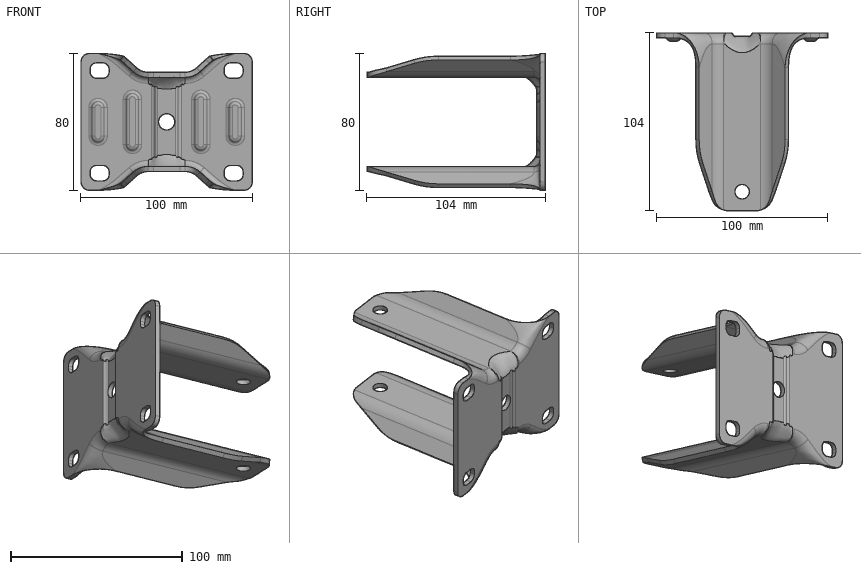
import cadquery as cq
import math


thickness = 3.0
plate_width = 100.0
plate_height = 80.0
plate_corner_radius = 5.0
half_width = plate_width / 2
half_height = plate_height / 2

arm_length = 104.0
web_half_width = 10.8
web_inner_height = 26.0
bend_radius = 10.0
wing_angle = 42.0
wing_width = 10.2
web_outer_height = web_inner_height + thickness
bend_axis_height = web_outer_height + bend_radius
bend_inner_radius = bend_radius + thickness
wing_cos = math.cos(math.radians(wing_angle))
wing_sin = math.sin(math.radians(wing_angle))

fold_radius = 3.5
fold_depth = fold_radius + thickness
flare_depth = 20.3
flare_end_x = 39.9
circle_handle = 4 / 3 * (math.sqrt(2) - 1)
flare_inner_angle = 14.0
flare_inner_handle = 0.7
flare_steps = 4

taper_start = 62.4
taper_radius = 34.3
taper_angle = 24.0
tip_radius = 10.0
bend_steps = 6

unrolled_bend = math.radians(wing_angle) * (bend_radius + thickness / 2)
taper_sin = math.sin(math.radians(taper_angle))
taper_cos = math.cos(math.radians(taper_angle))
taper_tan = taper_sin / taper_cos
wing_edge = web_half_width + unrolled_bend + wing_width
taper_line_across = wing_edge - taper_radius * (1 - taper_cos)
taper_line_reach = taper_start + taper_radius * taper_sin
tip_center_reach = arm_length - tip_radius
tip_center_across = (
    taper_line_across
    - (tip_center_reach - taper_line_reach) * taper_tan
    - tip_radius / taper_cos
)

slot_width = 10.9
slot_height = 8.8
slot_corner_radius = 3.5
slot_x = 39.1
slot_z = 30.0
center_hole_diameter = 9.4
axle_hole_diameter = 8.3
axle_hole_y = -92.8

emboss_height = 2.0
bead_foot = 5.4
bead_inflection = 3.5
bead_crown = 1.7
beads = ((20.0, 13.1), (40.0, 8.3))
rib_foot = 8.7
rib_inflection = 6.8
rib_crown = 5.3
groove_foot = 6.8
groove_inflection = 5.4
groove_crown = 4.0

gusset_half_width = 10.7
gusset_depth = 11.9
gusset_foot_z = 18.8
gusset_handle = 0.25
gusset_steps = 8

overlap = 0.02
cut_margin = 1.0


def wing_point(along, height=0.0):
    """Point (x, z) on the wing: distance past the bend, height above the inner face."""
    radius = bend_inner_radius - height
    x = web_half_width + radius * wing_sin + along * wing_cos
    z = bend_axis_height - radius * wing_cos + along * wing_sin
    return x, z


def smooth_turn(foot, depth, plate_point, plate_y, angle, arm_handle, plate_handle):
    """Curve leaving the arm along Y and landing on the plate along the given angle."""
    (foot_x, foot_z), (plate_x, plate_z) = foot, plate_point
    reach = plate_handle * math.dist(foot, plate_point)
    return cq.Edge.makeBezier([
        cq.Vector(foot_x, -depth, foot_z),
        cq.Vector(foot_x, -depth + arm_handle * (depth + plate_y), foot_z),
        cq.Vector(plate_x - reach * math.cos(angle), plate_y, plate_z - reach * math.sin(angle)),
        cq.Vector(plate_x, plate_y, plate_z),
    ])


def join_turns(inner, outer):
    """Closed outline of the sheet between its inner and outer curves."""
    at_plate = cq.Edge.makeLine(inner.endPoint(), outer.endPoint())
    at_arm = cq.Edge.makeLine(outer.startPoint(), inner.startPoint())
    return cq.Wire.assembleEdges([inner, at_plate, outer, at_arm])


def plain_fold_section(inner_foot, outer_foot, plate_point):
    """Fold outline of constant radius, with true arcs."""
    def arc(foot, plate_y):
        (foot_x, foot_z), (plate_x, plate_z) = foot, plate_point
        near, far = math.sqrt(0.5), 1 - math.sqrt(0.5)
        middle = cq.Vector(
            foot_x * near + plate_x * far,
            plate_y * near - fold_depth * far,
            foot_z * near + plate_z * far,
        )
        start = cq.Vector(foot_x, -fold_depth, foot_z)
        return cq.Edge.makeThreePointArc(start, middle, cq.Vector(plate_x, plate_y, plate_z))
    return join_turns(arc(inner_foot, -thickness), arc(outer_foot, 0.0))


def flare_section(share):
    """Fold outline at a share (0 to 1) of the way from the bend to the free edge."""
    start_x, start_z = wing_point(0, -fold_radius)
    if share == 0:
        return plain_fold_section(wing_point(0), wing_point(0, thickness), (start_x, start_z))
    along = wing_width * share
    depth = fold_depth + (flare_depth - fold_depth) * share**2
    rise = flare_end_x - start_x
    drop = start_z + rise * wing_sin / wing_cos - half_height
    plate_point = (
        start_x + rise * share,
        start_z + rise * share * wing_sin / wing_cos - drop * share**3,
    )
    start_angle = wing_angle - 90
    inner_angle = math.radians(start_angle + (flare_inner_angle - start_angle) * share)
    outer_angle = math.radians(start_angle * (1 - share))
    inner_handle = circle_handle + (flare_inner_handle - circle_handle) * share
    inner_foot = wing_point(along)
    inner = smooth_turn(
        inner_foot, depth, plate_point, -thickness, inner_angle, inner_handle, inner_handle
    )
    outer_foot = wing_point(along, thickness)
    outer = smooth_turn(
        outer_foot, depth, plate_point, 0.0, outer_angle, circle_handle, circle_handle
    )
    return join_turns(inner, outer)


def flare():
    """Twisted sheet between the wing, the plate and the free edge."""
    sections = [flare_section(step / flare_steps) for step in range(flare_steps + 1)]
    sides = cq.Solid.makeLoft(sections).Faces()
    bend_end = cq.Face.makeFromWires(sections[0])
    free_end = cq.Face.makeNSidedSurface(sections[-1].Edges(), [])
    return cq.Solid.makeSolid(cq.Shell.makeShell(sides + [bend_end, free_end]))


def seam_between(solid, start, end):
    """Edge of the solid that joins two given points."""
    def mismatch(edge):
        first, last = edge.startPoint(), edge.endPoint()
        return min(
            (first - start).Length + (last - end).Length,
            (first - end).Length + (last - start).Length,
        )
    return min(solid.Edges(), key=mismatch)


def tip_reach(across):
    """Reach of the arm tip at a distance across the unrolled sheet."""
    offset = across - tip_center_across
    if offset <= 0:
        return arm_length
    if offset >= tip_radius * taper_cos:
        return taper_line_reach + (taper_line_across - across) / taper_tan
    return tip_center_reach + math.sqrt(tip_radius**2 - offset**2)


def web_fold_section():
    """Plain fold outline in the plane where the web meets the bend."""
    return plain_fold_section(
        (web_half_width, web_inner_height),
        (web_half_width, web_outer_height),
        (web_half_width, web_inner_height - fold_radius),
    )


def web():
    """Flat middle of the arm together with the fold below it."""
    section = web_fold_section()
    fold = cq.Workplane(cq.Solid.extrudeLinear(section, [], cq.Vector(-2 * web_half_width, 0, 0)))
    edge_reach = tip_reach(web_half_width)
    mid_across = (tip_center_across + web_half_width) / 2
    panel = (
        cq.Workplane("XY", origin=(0, 0, web_inner_height))
        .moveTo(-web_half_width, -fold_depth)
        .lineTo(web_half_width, -fold_depth)
        .lineTo(web_half_width, -edge_reach)
        .threePointArc((mid_across, -tip_reach(mid_across)), (tip_center_across, -arm_length))
        .lineTo(-tip_center_across, -arm_length)
        .threePointArc((-mid_across, -tip_reach(mid_across)), (-web_half_width, -edge_reach))
        .close()
        .extrude(thickness)
    )
    return fold.union(panel)


def bend_tip_slice(share):
    """Outline of the waste beyond the tip at a share of the way round the bend."""
    angle = math.radians(wing_angle) * share
    reach = tip_reach(web_half_width + unrolled_bend * share)
    corners = [
        (bend_radius - cut_margin, reach),
        (bend_inner_radius + cut_margin, reach),
        (bend_inner_radius + cut_margin, arm_length + cut_margin),
        (bend_radius - cut_margin, arm_length + cut_margin),
    ]
    return cq.Wire.makePolygon([
        cq.Vector(
            web_half_width + radius * math.sin(angle),
            -y_reach,
            bend_axis_height - radius * math.cos(angle),
        )
        for radius, y_reach in corners
    ], close=True)


def bend():
    """Rounded bend between the web and the wing, turned about its axis."""
    fold = web_fold_section()
    sheet = cq.Wire.makePolygon([
        cq.Vector(web_half_width, -fold_depth, web_inner_height),
        cq.Vector(web_half_width, -fold_depth, web_outer_height),
        cq.Vector(web_half_width, -arm_length, web_outer_height),
        cq.Vector(web_half_width, -arm_length, web_inner_height),
    ], close=True)
    axis_start = cq.Vector(web_half_width, 0, bend_axis_height)
    axis_end = axis_start + cq.Vector(0, -1, 0)
    turned = [
        cq.Workplane(cq.Solid.revolve(wire, [], wing_angle, axis_start, axis_end))
        for wire in (fold, sheet)
    ]
    slices = [bend_tip_slice(step / bend_steps) for step in range(bend_steps + 1)]
    waste = cq.Solid.makeLoft(slices)
    return turned[0].union(turned[1].cut(cq.Workplane(waste)))


def wing(flare_solid):
    """Flat wing, cut square to its own surface."""
    def inner_face_point(along, reach):
        x, z = wing_point(along)
        return cq.Vector(x, -reach, z)

    fold_start = inner_face_point(0, fold_depth)
    flare_end = inner_face_point(wing_width, flare_depth)
    arc_start = inner_face_point(wing_width, taper_start)
    half_angle = math.radians(taper_angle) / 2
    arc_middle = inner_face_point(
        wing_width - taper_radius * (1 - math.cos(half_angle)),
        taper_start + taper_radius * math.sin(half_angle),
    )
    arc_end = inner_face_point(
        wing_width - taper_radius * (1 - taper_cos), taper_line_reach
    )
    bend_end = inner_face_point(0, tip_reach(web_half_width + unrolled_bend))
    outline = cq.Wire.assembleEdges([
        seam_between(flare_solid, fold_start, flare_end),
        cq.Edge.makeLine(flare_end, arc_start),
        cq.Edge.makeThreePointArc(arc_start, arc_middle, arc_end),
        cq.Edge.makeLine(arc_end, bend_end),
        cq.Edge.makeLine(bend_end, fold_start),
    ])
    normal = cq.Vector(-wing_sin, 0, wing_cos)
    return cq.Solid.extrudeLinear(outline, [], normal * thickness)


def plate_quarter(flare_solid):
    """Quarter of the plate, bounded above by the lines where the fold begins."""
    def back_point(x, z):
        return cq.Vector(x, 0, z)

    fold_z = web_inner_height - fold_radius
    turn_radius = bend_inner_radius + fold_radius
    half_turn = math.radians(wing_angle) / 2
    web_end = back_point(web_half_width, fold_z)
    turn_middle = back_point(
        web_half_width + turn_radius * math.sin(half_turn),
        bend_axis_height - turn_radius * math.cos(half_turn),
    )
    turn_end = back_point(*wing_point(0, -fold_radius))
    flare_end = back_point(flare_end_x, half_height)
    corner_start = back_point(half_width - plate_corner_radius, half_height)
    corner_inset = plate_corner_radius * (1 - math.sqrt(0.5))
    corner_middle = back_point(half_width - corner_inset, half_height - corner_inset)
    corner_end = back_point(half_width, half_height - plate_corner_radius)
    outline = cq.Wire.assembleEdges([
        cq.Edge.makeLine(back_point(0, 0), back_point(0, fold_z)),
        cq.Edge.makeLine(back_point(0, fold_z), web_end),
        cq.Edge.makeThreePointArc(web_end, turn_middle, turn_end),
        seam_between(flare_solid, turn_end, flare_end),
        cq.Edge.makeLine(flare_end, corner_start),
        cq.Edge.makeThreePointArc(corner_start, corner_middle, corner_end),
        cq.Edge.makeLine(corner_end, back_point(half_width, 0)),
        cq.Edge.makeLine(back_point(half_width, 0), back_point(0, 0)),
    ])
    return cq.Solid.extrudeLinear(outline, [], cq.Vector(0, -thickness, 0))


def step_profile(foot, inflection, crown, base_y, buried_y):
    """Half outline of a pressed step: a hollow arc, then a round arc, up to a flat crown."""
    turn = 2 * math.atan(emboss_height / (foot - crown))
    hollow_radius = (foot - inflection) / math.sin(turn)
    crown_radius = (inflection - crown) / math.sin(turn)
    top_y = base_y - emboss_height
    half_sin, half_cos = math.sin(turn / 2), math.cos(turn / 2)
    middle_y = base_y - hollow_radius * (1 - math.cos(turn))
    return (
        cq.Workplane("XY")
        .moveTo(0, buried_y)
        .lineTo(foot, buried_y)
        .lineTo(foot, base_y)
        .threePointArc(
            (foot - hollow_radius * half_sin, base_y - hollow_radius * (1 - half_cos)),
            (inflection, middle_y),
        )
        .threePointArc(
            (crown + crown_radius * half_sin, top_y + crown_radius * (1 - half_cos)),
            (crown, top_y),
        )
        .lineTo(0, top_y)
        .close()
    )


def step_ridge(foot, inflection, crown, base_y, buried_y, half_length):
    """Straight pressed ridge along Z, centred on the part."""
    profile = step_profile(foot, inflection, crown, base_y, buried_y)
    side = profile.extrude(2 * half_length).translate((0, 0, -half_length))
    return side.union(side.mirror("YZ"))


def bead(x, half_length):
    """Pressed bead with round ends, standing on the plate front."""
    sizes = (bead_foot, bead_inflection, bead_crown, -thickness, -thickness / 2)
    end = step_profile(*sizes).revolve(360, (0, 0, 0), (0, 1, 0))
    shape = step_ridge(*sizes, half_length)
    for z in (half_length, -half_length):
        shape = shape.union(end.translate((0, 0, z)))
    return shape.translate((x, 0, 0))


def gusset_section(x, arm_z, plate_y, closing_y, closing_z):
    """Outline in YZ of the gusset filling, bounded by its sloping face and two flat sides."""
    fade = (x / gusset_half_width) ** 2
    depth = gusset_depth + (fold_depth - gusset_depth) * fade
    foot_z = gusset_foot_z + (web_inner_height - fold_radius - gusset_foot_z) * fade
    handle = gusset_handle + (circle_handle - gusset_handle) * fade
    slope = smooth_turn((x, arm_z), depth, (x, foot_z), plate_y, -math.pi / 2, handle, handle)
    sides = [
        slope.endPoint(),
        cq.Vector(x, closing_y, foot_z),
        cq.Vector(x, closing_y, closing_z),
        cq.Vector(x, -depth, closing_z),
        slope.startPoint(),
    ]
    lines = [cq.Edge.makeLine(first, last) for first, last in zip(sides, sides[1:])]
    return cq.Wire.assembleEdges([slope] + lines)


def step_rise(x, foot, crown):
    """Height of a pressed step at x, as a smooth wave from foot to crown."""
    share = min(max((foot - abs(x)) / (foot - crown), 0), 1)
    return emboss_height * (1 - math.cos(math.pi * share)) / 2


def both_arms(shape):
    """The shape with its mirror image on the other arm."""
    return shape.union(shape.mirror("XY"))


def gusset_solid(arm_z, base_y, foot, crown, closing_y, closing_z):
    """Gusset filling lofted across the web, following the rib or the groove."""
    sections = []
    for step in range(-gusset_steps, gusset_steps + 1):
        x = gusset_half_width * step / gusset_steps
        plate_y = base_y - step_rise(x, foot, crown)
        sections.append(gusset_section(x, arm_z, plate_y, closing_y, closing_z))
    return both_arms(cq.Workplane(cq.Solid.makeLoft(sections)))


def slots():
    """Rounded mounting slots near the plate corners."""
    return (
        cq.Workplane("XZ")
        .rect(2 * slot_x, 2 * slot_z, forConstruction=True)
        .vertices()
        .rect(slot_width, slot_height)
        .extrude(thickness)
        .edges("|Y")
        .fillet(slot_corner_radius)
    )


def round_holes():
    """Hole through the rib and the axle hole through both arms."""
    center_hole = (
        cq.Workplane("XZ").circle(center_hole_diameter / 2).extrude(thickness + emboss_height)
    )
    axle_hole = (
        cq.Workplane("XY", origin=(0, axle_hole_y, 0))
        .circle(axle_hole_diameter / 2)
        .extrude(half_height, both=True)
    )
    return center_hole.union(axle_hole)


flare_solid = flare()
quarter = (
    cq.Workplane(plate_quarter(flare_solid))
    .union(cq.Workplane(flare_solid))
    .union(cq.Workplane(wing(flare_solid)))
    .union(bend())
)
half = quarter.union(quarter.mirror("YZ")).union(web())
body = both_arms(half)

buried_y = -thickness / 2
rib = step_ridge(
    rib_foot, rib_inflection, rib_crown, -thickness, buried_y, web_inner_height
)
gusset_filling = gusset_solid(
    web_inner_height + overlap,
    overlap - thickness,
    rib_foot,
    rib_crown,
    buried_y,
    web_inner_height + thickness / 2,
)
body = body.union(rib).union(gusset_filling)

groove = step_ridge(
    groove_foot, groove_inflection, groove_crown, 0.0, cut_margin, half_height
)
gusset_recess = gusset_solid(
    web_outer_height + overlap,
    overlap,
    groove_foot,
    groove_crown,
    cut_margin,
    web_outer_height + cut_margin,
)
body = body.cut(groove).cut(gusset_recess)

for bead_x, straight_half in beads:
    for side in (1, -1):
        body = body.union(bead(side * bead_x, straight_half))

result = body.cut(slots()).cut(round_holes())